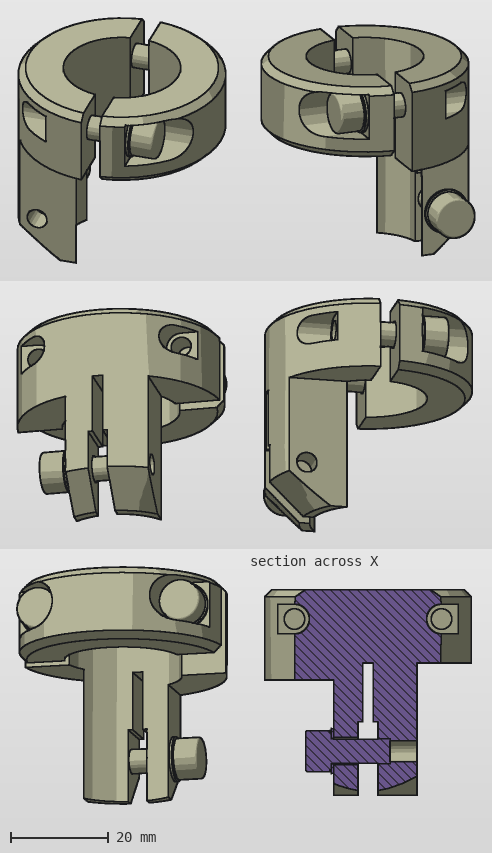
import cadquery as cq


OUTER_RADIUS = 21.2
BORE_RADIUS = 12.0
COLLAR_HEIGHT = 15.0
RIM_CHAMFER = 1.5
GAP = 4.0
SKIRT_HEIGHT = 18.5

TOTAL_HEIGHT = 42.0
LEG_FRONT_Y = -10.0
LEG_BACK_Y = 7.0
LEG_CHAMFER = 7.0
NARROW_SLOT = 2.1
WIDE_SLOT_TOP = 27.0

SHANK_DIAMETER = 5.0
SHANK_LENGTH = 12.0
HEAD_DIAMETER = 8.52
HEAD_HEIGHT = 5.0
HEAD_FILLET = 0.5
NECK_DIAMETER = 7.8
NECK_HEIGHT = 0.25
WASHER_DIAMETER = 9.25
WASHER_THICKNESS = 0.5
CLEARANCE_DIAMETER = 5.5
CORE_DIAMETER = 4.2

SEAT = 7.0
COLLAR_SCREW_Y = 15.0
COLLAR_SCREW_Z = -6.0
LEG_SCREW_X = -15.0
LEG_SCREW_Z = -33.0
HEAD_POCKET_WIDTH = 9.5
TIP_POCKET_WIDTH = 6.0
TIP_POCKET_FLOOR = 10.45

SIDES = (-1, 1)

COLLAR_SEATS = [
    cq.Plane(origin=(SEAT, side * COLLAR_SCREW_Y, COLLAR_SCREW_Z), xDir=(0, 1, 0), normal=(1, 0, 0))
    for side in SIDES
]
LEG_SEAT = cq.Plane(origin=(LEG_SCREW_X, LEG_BACK_Y, LEG_SCREW_Z), xDir=(1, 0, 0), normal=(0, 1, 0))


def block(x_range, y_range, z_range):
    """Box between two limits on each axis."""
    low, high = zip(x_range, y_range, z_range)
    size = [b - a for a, b in zip(low, high)]
    return cq.Workplane("XY").box(*size, centered=False).translate(low)


def outer_cylinder(height):
    """Solid cylinder of the collar's outer size, hanging from the top face."""
    return cq.Workplane("XY").circle(OUTER_RADIUS).extrude(-height)


def bore(body):
    """Cut the central bore through a body."""
    return body.cut(cq.Workplane("XY").circle(BORE_RADIUS).extrude(-TOTAL_HEIGHT))


def screw_hole(seat, seat_depth):
    """Cutter for one screw: clearance to the gap, thread to the screw tip, then core hole."""
    clearance = cq.Workplane(seat).circle(CLEARANCE_DIAMETER / 2).extrude(-seat_depth)
    thread = cq.Workplane(seat).circle(SHANK_DIAMETER / 2).extrude(WASHER_THICKNESS - SHANK_LENGTH)
    core = cq.Workplane(seat).circle(CORE_DIAMETER / 2).extrude(-OUTER_RADIUS)
    return clearance.union(thread).union(core)


def side_pocket(floor_x, open_x, side, width):
    """Cutter with a round inner end, from floor_x out through the collar's outer surface."""
    radius = width / 2
    axis_y = side * COLLAR_SCREW_Y
    round_end = (
        cq.Workplane("YZ", origin=(floor_x, 0, 0))
        .center(axis_y, COLLAR_SCREW_Z)
        .circle(radius)
        .extrude(open_x - floor_x)
    )
    open_end = block(
        sorted((floor_x, open_x)),
        sorted((axis_y, side * OUTER_RADIUS)),
        (COLLAR_SCREW_Z - radius, COLLAR_SCREW_Z + radius),
    )
    return round_end.union(open_end)


def make_plain_half():
    """+X half of the collar, holding the screw heads."""
    collar = outer_cylinder(COLLAR_HEIGHT).faces("<Z or >Z").edges().chamfer(RIM_CHAMFER)
    half_space = block((GAP / 2, OUTER_RADIUS), (-OUTER_RADIUS, OUTER_RADIUS), (-COLLAR_HEIGHT, 0))
    half = bore(collar).intersect(half_space)
    for side, seat in zip(SIDES, COLLAR_SEATS):
        half = half.cut(side_pocket(SEAT, OUTER_RADIUS, side, HEAD_POCKET_WIDTH))
        half = half.cut(screw_hole(seat, SEAT))
    return half


def make_leg_half():
    """-X half of the collar with the deeper skirt and the slotted leg."""
    x_range = (-OUTER_RADIUS, -GAP / 2)
    collar = block(x_range, (-OUTER_RADIUS, OUTER_RADIUS), (-COLLAR_HEIGHT, 0))
    skirt = block(x_range, (0, OUTER_RADIUS), (-SKIRT_HEIGHT, 0))
    leg = block(x_range, (LEG_FRONT_Y, LEG_BACK_Y), (-TOTAL_HEIGHT, 0))

    blank = outer_cylinder(TOTAL_HEIGHT)
    blank = blank.faces(">Z").edges().chamfer(RIM_CHAMFER)
    blank = blank.faces("<Z").edges().chamfer(LEG_CHAMFER)
    half = bore(blank).intersect(collar.union(skirt).union(leg))

    for slot_width, slot_top in ((NARROW_SLOT, COLLAR_HEIGHT), (GAP, WIDE_SLOT_TOP)):
        slot_y = (-slot_width / 2, slot_width / 2)
        half = half.cut(block(x_range, slot_y, (-TOTAL_HEIGHT, -slot_top)))

    for side, seat in zip(SIDES, COLLAR_SEATS):
        half = half.cut(side_pocket(-TIP_POCKET_FLOOR, -OUTER_RADIUS, side, TIP_POCKET_WIDTH))
        half = half.cut(screw_hole(seat, SEAT))
    return half.cut(screw_hole(LEG_SEAT, LEG_BACK_Y))


def make_washer(seat):
    """Flat washer lying on a seat."""
    return (
        cq.Workplane(seat)
        .circle(WASHER_DIAMETER / 2)
        .circle(SHANK_DIAMETER / 2)
        .extrude(WASHER_THICKNESS)
    )


def make_screw(seat):
    """Cap screw whose neck bears on the washer of a seat."""
    bearing = cq.Workplane(seat).workplane(offset=WASHER_THICKNESS)
    shank = bearing.circle(SHANK_DIAMETER / 2).extrude(-SHANK_LENGTH)
    neck = bearing.circle(NECK_DIAMETER / 2).extrude(NECK_HEIGHT)
    head = bearing.workplane(offset=NECK_HEIGHT).circle(HEAD_DIAMETER / 2).extrude(HEAD_HEIGHT)
    outer_end = cq.NearestToPointSelector(seat.toWorldCoords((0, 0, OUTER_RADIUS)).toTuple())
    head = head.faces(outer_end).edges().fillet(HEAD_FILLET)
    return head.union(neck).union(shank)


plain_half = make_plain_half()
leg_half = make_leg_half()
seats = [*COLLAR_SEATS, LEG_SEAT]
washers = [make_washer(seat).val() for seat in seats]
screws = [make_screw(seat).val() for seat in seats]

result = cq.Compound.makeCompound([plain_half.val(), leg_half.val(), *washers, *screws])